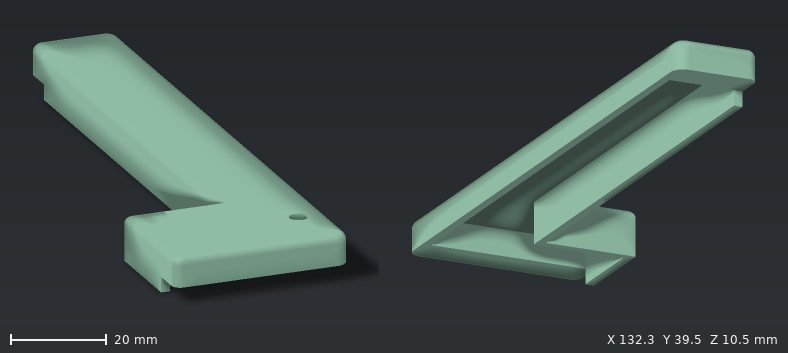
import cadquery as cq

length = 132.3
depth = 39.5
height = 10.5
arm_width = 18.9
foot_width = 28.2

wall = 2.0
top_thickness = 1.0
end_block = 7.7
lip_height = 3.5

edge_radius = 2.0
back_corner_radius = 2.9

hole_diameter = 4.0
hole_from_right = 13.0
hole_from_back = 6.5

arm_front = depth - arm_width
foot_left = length - foot_width
cavity_right = length - end_block


def outer_body():
    """Solid L with rounded outer corners and a rounded top edge."""
    outline = [
        (0, arm_front),
        (foot_left, arm_front),
        (foot_left, 0),
        (length, 0),
        (length, depth),
        (0, depth),
    ]
    body = cq.Workplane("XY").polyline(outline).close().extrude(height)
    body = body.edges("|Z and >Y").fillet(back_corner_radius)
    for corner in [(0, arm_front), (length, 0)]:
        selector = cq.selectors.NearestToPointSelector((*corner, height / 2))
        body = body.edges(selector).fillet(edge_radius)
    return body.faces(">Z").edges().fillet(edge_radius)


def cavity():
    """L-shaped hollow, open at the bottom, between the two solid ends."""
    outline = [
        (end_block, arm_front + wall),
        (foot_left + wall, arm_front + wall),
        (foot_left + wall, wall),
        (cavity_right, wall),
        (cavity_right, depth - wall),
        (end_block, depth - wall),
    ]
    return cq.Workplane("XY").polyline(outline).close().extrude(height - top_thickness)


def step(x_start, x_end, y_start):
    """Block of lip height that raises the underside, running to the back."""
    return cq.Workplane("XY").box(
        x_end - x_start, depth - y_start, lip_height, centered=False
    ).translate((x_start, y_start, 0))


def top_hole():
    """Round hole, cut through the full height."""
    return (
        cq.Workplane("XY")
        .center(length - hole_from_right, depth - hole_from_back)
        .circle(hole_diameter / 2)
        .extrude(height)
    )


result = outer_body().cut(cavity()).cut(top_hole())
result = result.cut(step(0, end_block, 0))
result = result.cut(step(cavity_right, length, 0))
result = result.cut(step(0, length, arm_front + wall))